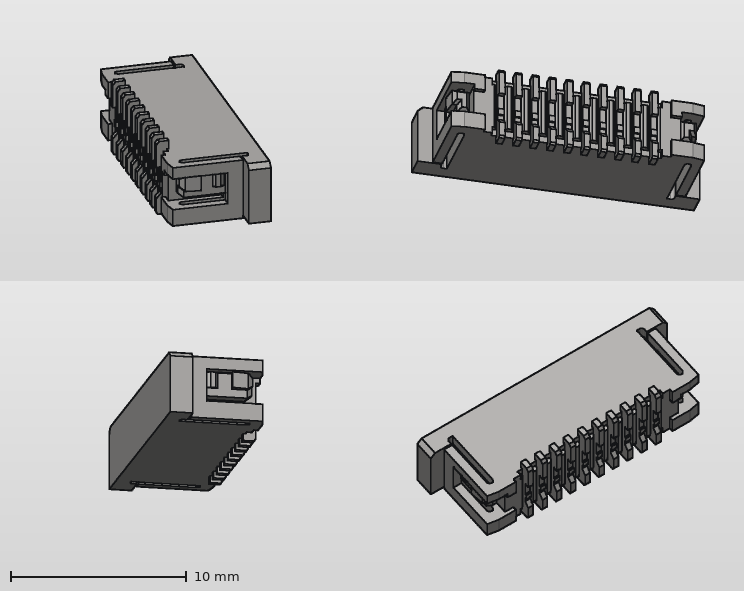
import cadquery as cq
import math

overall_width = 16.6
height = 3.6
half_width = overall_width / 2

flange_depth = 1.31
flange_bevel = 0.3

body_half_width = 7.44
arm_front = -5.7
arm_corner = -5.56
arm_slant_end = 6.7
arm_inner = 5.5
center_front = -5.45
comb_half_width = 5.0
comb_root = -5.15
lip_height = 0.4

window_rear = -2.3
window_inner = 6.1
window_bottom = 1.01
window_top = 2.9
ledge_bottom = 2.6

slot_inner = 6.47
slot_width = 0.4
slot_outer = slot_inner + slot_width
slot_rear = -0.9
slot_front = -4.95
slit_width = 0.1
channel_bottom = 1.35

bar_inner = 6.18
bar_outer = 6.9
bar_bottom = 1.46
bar_top = 2.85
bar_front = -4.76
tip_length = 0.3
tip_inset = 0.22
bump_bottom = 1.95
front_bump_outer = 7.19
front_bump_rear_outer = 7.3
front_bump_rear = -3.85
rear_bump_height = 0.141
rear_bump_base = (-2.37, -3.05)
rear_bump_crest = (-2.6, -2.9)

contact_count = 10
contact_span = 9.0
contact_pitch = contact_span / (contact_count - 1)
contact_width = 0.35
contact_rear = -5.01
contact_front = -5.75
contact_top = height + 0.5
contact_bottom = -0.4
top_bevel_depth = 0.17
top_bevel_height = 0.2
bottom_bevel_depth = 0.08
bottom_bevel_height = 0.13
contact_recess = -5.45
lower_foot_front_top = 0.6
lower_foot_top = 0.93
upper_foot_bottom = 2.5
step_front = -5.56
step_bottom = 1.21
step_top = 1.6
groove_width = 0.5
groove_mouth = 0.76
groove_flare = 0.15


def block(x_range, y_range, z_range):
    """Axis-aligned box between pairs of limits."""
    (x0, x1), (y0, y1), (z0, z1) = x_range, y_range, z_range
    return cq.Workplane("XY").box(x1 - x0, y1 - y0, z1 - z0, centered=False).translate((x0, y0, z0))


def both_sides(solid):
    """The solid on the +X side together with its mirror image."""
    return solid.union(solid.mirror("YZ"))


def make_housing():
    flange = (
        block((-half_width, half_width), (-flange_depth, 0), (0, height))
        .edges("|Y and >Z")
        .chamfer(flange_bevel)
    )
    right_outline = [
        (body_half_width, -flange_depth),
        (body_half_width, arm_corner),
        (arm_slant_end, arm_front),
        (arm_inner, arm_front),
        (arm_inner, center_front),
    ]
    left_outline = [(-x, y) for x, y in reversed(right_outline)]
    body = cq.Workplane("XY").polyline(right_outline + left_outline).close().extrude(height)
    return flange.union(body)


def slot_prism(z_bottom, z_top):
    """Slot with a round front end and a rounded outer rear corner."""
    radius = slot_width / 2
    middle = slot_inner + radius
    diagonal = radius * math.sqrt(0.5)
    return (
        cq.Workplane("XY", origin=(0, 0, z_bottom))
        .moveTo(slot_inner, slot_rear)
        .lineTo(middle, slot_rear)
        .threePointArc(
            (middle + diagonal, slot_rear - radius + diagonal),
            (slot_outer, slot_rear - radius),
        )
        .lineTo(slot_outer, slot_front + radius)
        .threePointArc((middle, slot_front), (slot_inner, slot_front + radius))
        .close()
        .extrude(z_top - z_bottom)
    )


def side_cavity():
    window = block((window_inner, half_width), (arm_front, window_rear), (window_bottom, window_top))
    front_gap = block((arm_inner, half_width), (arm_front, center_front), (window_bottom, ledge_bottom))
    channel = block((window_inner, slot_inner), (window_rear, slot_rear), (channel_bottom, window_top))
    slit = block(
        (slot_inner, body_half_width),
        (-flange_depth - slit_width, -flange_depth),
        (0, height),
    )
    return window.union(front_gap).union(channel).union(slit).union(slot_prism(0, height))


def bump_prism(points):
    """Bump on the outer side of a latch bar, from its outline in X and Y."""
    return (
        cq.Workplane("XY", origin=(0, 0, bump_bottom))
        .polyline(points)
        .close()
        .extrude(bar_top - bump_bottom)
    )


def bar_section(inset):
    """L-shaped section of the bar and its front bump in X and Z, shrunk evenly by inset."""
    return [
        (bar_inner + inset, bar_bottom + inset),
        (bar_outer - inset, bar_bottom + inset),
        (bar_outer - inset, bump_bottom + inset),
        (front_bump_outer - inset, bump_bottom + inset),
        (front_bump_outer - inset, bar_top - inset),
        (bar_inner + inset, bar_top - inset),
    ]


def latch_bar():
    plate = block((bar_inner, bar_outer), (bar_front, slot_rear), (bar_bottom, bar_top))
    front_bump = bump_prism([
        (bar_outer, front_bump_rear),
        (front_bump_rear_outer, front_bump_rear),
        (front_bump_outer, bar_front),
        (bar_outer, bar_front),
    ])
    rear_bump_outer = bar_outer + rear_bump_height
    rear_bump = bump_prism([
        (bar_outer, rear_bump_base[0]),
        (rear_bump_outer, rear_bump_crest[0]),
        (rear_bump_outer, rear_bump_crest[1]),
        (bar_outer, rear_bump_base[1]),
    ])
    tip = (
        cq.Workplane("XZ", origin=(0, bar_front, 0))
        .polyline(bar_section(0))
        .close()
        .workplane(offset=tip_length)
        .polyline(bar_section(tip_inset))
        .close()
        .loft(ruled=True)
    )
    return plate.union(front_bump).union(rear_bump).union(tip)


def contact_positions():
    return [-contact_span / 2 + i * contact_pitch for i in range(contact_count)]


def comb_cut():
    """Lips set back above and below the comb, and the flared grooves for the contacts."""
    depth_range = (center_front, comb_root)
    comb_range = (-comb_half_width, comb_half_width)
    cut = block(comb_range, depth_range, (0, lip_height))
    cut = cut.union(block(comb_range, depth_range, (height - lip_height, height)))
    half_root = groove_width / 2
    half_mouth = groove_mouth / 2
    flare_start = center_front + groove_flare
    groove = (
        cq.Workplane("XY")
        .polyline([
            (-half_root, comb_root),
            (-half_root, flare_start),
            (-half_mouth, center_front),
            (half_mouth, center_front),
            (half_root, flare_start),
            (half_root, comb_root),
        ])
        .close()
        .extrude(height)
    )
    for x in contact_positions():
        cut = cut.union(groove.translate((x, 0, 0)))
    return cut


def contact():
    """Vertical blade with solder feet at both ends and a stepped recess between them."""
    profile = [
        (contact_rear, contact_bottom),
        (contact_front + bottom_bevel_depth, contact_bottom),
        (contact_front, contact_bottom + bottom_bevel_height),
        (contact_front, lower_foot_front_top),
        (contact_recess, lower_foot_top),
        (contact_recess, step_bottom),
        (step_front, step_bottom),
        (step_front, step_top),
        (contact_recess, step_top),
        (contact_recess, upper_foot_bottom),
        (contact_front, upper_foot_bottom),
        (contact_front, contact_top - top_bevel_height),
        (contact_front + top_bevel_depth, contact_top),
        (contact_rear, contact_top),
    ]
    return (
        cq.Workplane("YZ", origin=(-contact_width / 2, 0, 0))
        .polyline(profile)
        .close()
        .extrude(contact_width)
    )


result = make_housing()
result = result.cut(both_sides(side_cavity()))
result = result.cut(comb_cut())
result = result.union(both_sides(latch_bar()))
for position in contact_positions():
    result = result.union(contact().translate((position, 0, 0)))